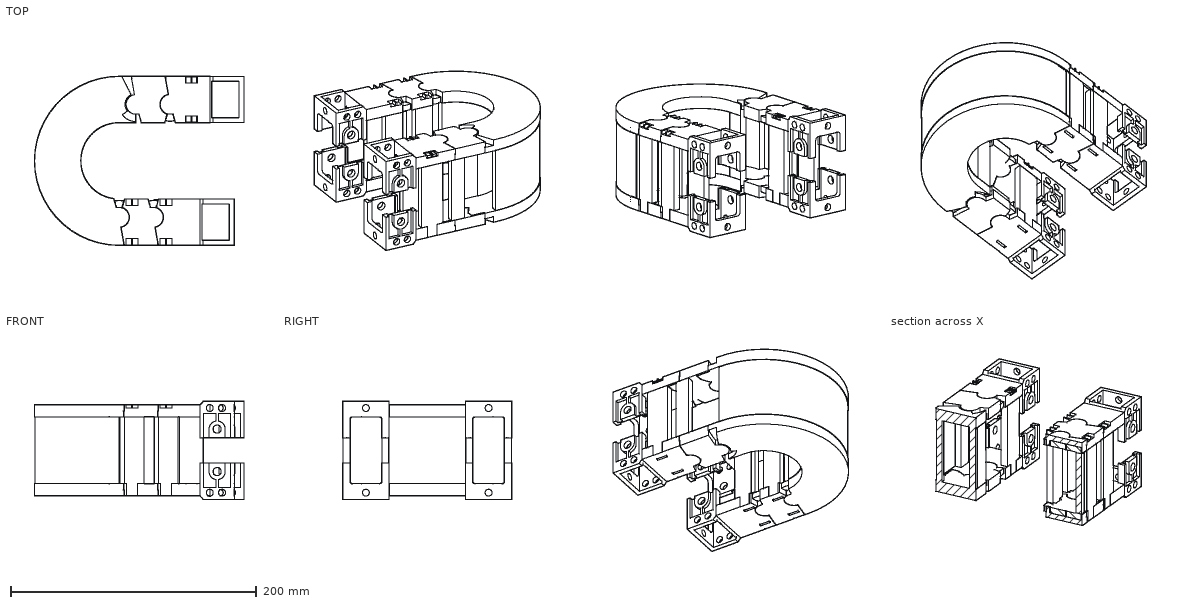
import cadquery as cq
import math


outer_radius = 69.0
chain_width = 38.0
inner_radius = outer_radius - chain_width
outer_edge = -outer_radius
inner_edge = -inner_radius
plate_top = 37.2
plate_thickness = 10.0
plate_bottom = plate_top - plate_thickness
lap_height = plate_top - plate_thickness / 2
wall_thickness = 5.8
wall_inset = 0.5
post_inset = 0.2

pivot_inset = 15.0
pivot_y = inner_edge - pivot_inset
lower_nose_pivot = 0.2
pitch = 27.8
end_pivot = lower_nose_pivot + pitch
upper_tail_pivot = -13.8
upper_end_pivot = upper_tail_pivot - pitch

lobe_radius = 8.0
joint_gap = 0.3
ledge_radius = 13.8
notch_half_bottom = 2.4
notch_half_top = 4.3
notch_margin = 1.0
seam_outer_offset = 3.9
seam_lobe_offset = 1.2
lap_seam_offset = 3.7
tongue_reach = 8.0
tongue_root = (-3.0, -7.4)
tongue_corner = 15.6
tongue_side = 21.2
reach = 40.0
arm_reach = 160.0

swing_socket_radius = 8.9
swing_recess_radius = 14.0
swing_recess_angle = 52.5
swing_edge_inner = (4.0, -8.0)
swing_edge_outer = (11.6, -23.0)

post_length = 19.6
post_start = 0.6
post_center = post_start + post_length / 2
pocket_width = 4.5
pocket_rib = 1.0
pocket_reach = 5.6
pocket_depth = 2.8
finger_gap = 0.7
finger_drop = 0.9
tab_width = 9.0
tab_slot_width = 9.6
tab_slot_reach = 2.0
spacer_length = 12.0

box_length = 28.0
box_top = 40.2
box_height = 30.0
box_bottom = box_top - box_height
box_wall = 4.2
front_wall = 1.8
front_jamb = 6.0
lead_in_rise = front_wall
lead_in_length = 2.6
box_inset = 0.1
lower_box_start = 66.0
upper_box_start = 74.0
recess_length = 22.0
recess_height = 20.0
recess_depth = 2.9
boss_radius = 6.6
boss_hole_diameter = 6.6
boss_height = 7.1
rib_width = 2.2
screw_diameter = 5.6
screw_offsets = (-6.0, 4.0)
screw_drop = 5.7
window_half_width = 13.0
window_top = 27.2
window_fillet = 2.5


def slab(x0, x1, y0, y1, z0, z1):
    return cq.Workplane("XY").box(x1 - x0, y1 - y0, z1 - z0, centered=False).translate((x0, y0, z0))


def prism(pivot, points, z0, z1, grow=0.0):
    """Polygon given relative to a pivot, grown outwards on demand."""
    outline = cq.Workplane("XY").polyline(points).close()
    if grow:
        outline = outline.offset2D(grow, "intersection")
    return outline.extrude(z1 - z0).translate((pivot, pivot_y, z0))


def disc(pivot, radius, z0, z1):
    return cq.Workplane("XY").circle(radius).extrude(z1 - z0).translate((pivot, pivot_y, z0))


def turned(shape):
    return shape.rotate((0, 0, 0), (0, 0, 1), 180)


def mirrored_pair(shape):
    return shape, shape.mirror("XY")


local_outer = outer_edge - pivot_y
local_inner = inner_edge - pivot_y


def notch(pivot):
    """Bending clearance on the inner side of a joint."""
    slope = (notch_half_top - notch_half_bottom) / (local_inner - lobe_radius)
    top = local_inner + notch_margin
    half = notch_half_top + slope * notch_margin
    points = [(-notch_half_bottom, lobe_radius), (notch_half_bottom, lobe_radius), (half, top), (-half, top)]
    return prism(pivot, points, plate_bottom, plate_top)


def nose_lobe(pivot, grow=0.0):
    """Upper lap of the nose: shoulder and round lobe."""
    points = [
        (-reach, local_outer),
        (seam_outer_offset, local_outer),
        (seam_lobe_offset, -lobe_radius),
        (0, 0),
        (0, local_inner),
        (-reach, local_inner),
    ]
    shoulder = prism(pivot, points, lap_height, plate_top, grow)
    return shoulder.union(disc(pivot, lobe_radius + grow, lap_height, plate_top))


def tail_tongue(pivot, grow=0.0):
    """Lower lap of the tail: round tongue that runs under the nose, without the ledge."""
    points = [
        (-tongue_reach, -tongue_side),
        (lap_seam_offset, -tongue_side),
        (lap_seam_offset, local_inner),
        (0, local_inner),
        (0, 0),
        tongue_root,
        (-tongue_reach, -tongue_corner),
    ]
    root = prism(pivot, points, plate_bottom, lap_height, grow)
    return root.union(disc(pivot, lobe_radius + grow, plate_bottom, lap_height))


def tail_ledge(pivot, grow=0.0):
    """Part of the tongue that closes the lower half of the notch."""
    half = notch_half_top + grow
    wedge = prism(pivot, [(0, 0), (half, local_inner), (-half, local_inner)], plate_bottom, lap_height)
    return wedge.intersect(disc(pivot, ledge_radius + grow, plate_bottom, lap_height))


def with_nose(plate, pivot):
    """Shape the +X end of a plate that runs on past the pivot."""
    upper = slab(-arm_reach, arm_reach, outer_edge, inner_edge, lap_height, plate_top)
    right = slab(pivot, arm_reach, outer_edge, inner_edge, plate_bottom, plate_top)
    upper_waste = right.intersect(upper).cut(nose_lobe(pivot))
    lower_waste = slab(pivot + lap_seam_offset - joint_gap, arm_reach, outer_edge, inner_edge,
                       plate_bottom, lap_height)
    plate = plate.cut(upper_waste).cut(lower_waste).cut(notch(pivot))
    return plate.cut(tail_tongue(pivot, joint_gap)).cut(tail_ledge(pivot, joint_gap))


def with_tail(plate, pivot):
    """Shape the -X end of a plate that starts at the pivot."""
    lower_waste = slab(pivot, pivot + lap_seam_offset, outer_edge, inner_edge, plate_bottom, lap_height)
    plate = plate.cut(nose_lobe(pivot, joint_gap)).cut(lower_waste).union(tail_tongue(pivot))
    return plate.cut(notch(pivot)).union(tail_ledge(pivot))


def plate_slab(x0, x1):
    return slab(x0, x1, outer_edge, inner_edge, plate_bottom, plate_top)


def post(x0, x1, y0):
    return slab(x0, x1, y0, y0 + wall_thickness, -plate_bottom, plate_bottom)


outer_post_y = outer_edge + post_inset
inner_post_y = inner_edge - post_inset - wall_thickness


def snap_pockets(center):
    """Two open pockets on each long edge of the top plate."""
    cutter = cq.Workplane("XY")
    for side in (-1, 1):
        x0 = center + side * (pocket_width + pocket_rib) / 2 - pocket_width / 2
        for y0 in (outer_edge, inner_edge - pocket_reach):
            cutter = cutter.union(
                slab(x0, x0 + pocket_width, y0, y0 + pocket_reach, plate_top - pocket_depth, plate_top)
            )
    return cutter


def snap_fingers(center):
    """Post fingers that nearly fill the snap pockets, clear of the end and edge faces."""
    fingers = []
    width = pocket_width - finger_gap
    length = pocket_reach - finger_gap
    for side in (-1, 1):
        x0 = center + side * (pocket_rib + width) / 2 - width / 2
        for y0 in (outer_edge + finger_gap, inner_edge - pocket_reach):
            fingers.append(
                slab(x0, x0 + width, y0, y0 + length, plate_top - pocket_depth, plate_top - finger_drop)
            )
    return fingers


def tab_notches(center):
    """Shallow notches in the bottom plate edges that carry the post face down to the bottom."""
    x0 = center - tab_width / 2
    cutter = slab(x0, x0 + tab_width, outer_edge, outer_edge + post_inset, -plate_top, -plate_bottom)
    return cutter.union(
        slab(x0, x0 + tab_width, inner_edge - post_inset, inner_edge, -plate_top, -plate_bottom)
    )


def tab_slots(center):
    """Clearance slots in the bottom plate on the inward faces of the tabs."""
    x0 = center - tab_slot_width / 2
    x1 = center + tab_slot_width / 2
    outer_face = outer_post_y + wall_thickness
    cutter = slab(x0, x1, outer_face, outer_face + tab_slot_reach, -plate_top, -plate_bottom)
    return cutter.union(
        slab(x0, x1, inner_post_y - tab_slot_reach, inner_post_y, -plate_top, -plate_bottom)
    )


def tail_strip(pivot):
    """Stepped-back strip of the outer and inner posts beside a tail seam."""
    step = wall_inset
    x1 = pivot + seam_outer_offset + joint_gap
    cutter = slab(pivot, x1, outer_edge, outer_edge + step, -plate_bottom, plate_bottom)
    return cutter.union(slab(pivot, x1, inner_edge - step, inner_edge, -plate_bottom, plate_bottom))


def framed(plate, center, inner_trim=0.0):
    """Join the top plate and its mirror with a post on each side."""
    x0 = center - post_length / 2
    x1 = center + post_length / 2
    top, bottom = mirrored_pair(plate)
    body = top.union(bottom).union(post(x0, x1, outer_post_y)).union(post(x0 + inner_trim, x1, inner_post_y))
    return body.cut(snap_pockets(center)).cut(tab_notches(center)).cut(tab_slots(center))


def side_recess(center):
    """Recess of a side wall, open at the bottom, around a boss hung from a rib."""
    recess = slab(center - recess_length / 2, center + recess_length / 2, 0, recess_depth,
                  box_bottom, box_bottom + recess_height)
    boss_z = box_bottom + boss_height
    boss = (
        cq.Workplane("XZ").center(center, boss_z).circle(boss_radius).extrude(-recess_depth)
        .union(slab(center - boss_radius, center + boss_radius, 0, recess_depth, box_bottom, boss_z))
        .union(slab(center - rib_width / 2, center + rib_width / 2, 0, recess_depth,
                    boss_z, box_bottom + recess_height))
    )
    return recess.cut(boss)


def cross_hole(x, z, diameter):
    hole = cq.Workplane("XZ").center(x, z).circle(diameter / 2).extrude(chain_width)
    return hole.translate((0, inner_edge, 0))


def end_box(start):
    """Box at the +X end of an arm, open above, below and towards the chain."""
    end = start + box_length
    center = (start + end) / 2
    middle_y = (outer_edge + inner_edge) / 2
    outer_side = outer_edge + box_inset
    inner_side = inner_edge - box_inset
    far_face = end - box_wall
    box = slab(start, end, outer_side, inner_side, box_bottom, box_top)
    box = box.cut(slab(start + front_wall, far_face, outer_side + box_wall, inner_side - box_wall,
                       box_bottom, box_top))
    box = box.cut(slab(start, start + front_wall, outer_side + front_jamb, inner_side - front_jamb,
                       box_bottom, plate_bottom))
    lead_in = (
        cq.Workplane("XZ")
        .polyline([
            (start, plate_top),
            (start + lead_in_rise, plate_top + lead_in_rise),
            (start + lead_in_length, box_top),
            (start, box_top),
        ])
        .close().extrude(chain_width).translate((0, inner_edge, 0))
    )
    box = box.cut(lead_in)
    recess = side_recess(center)
    box = box.cut(recess.translate((0, outer_side, 0)))
    box = box.cut(recess.mirror("XZ").translate((0, inner_side, 0)))
    box = box.cut(cross_hole(center, box_bottom + boss_height, boss_hole_diameter))
    screw_z = box_top - screw_drop
    for offset in screw_offsets:
        box = box.cut(cross_hole(center + offset, screw_z, screw_diameter))
    end_hole = cq.Workplane("YZ").center(middle_y, screw_z).circle(screw_diameter / 2).extrude(box_wall)
    box = box.cut(end_hole.translate((far_face, 0, 0)))
    window = slab(far_face, end, middle_y - window_half_width, middle_y + window_half_width,
                  box_bottom, window_top)
    return box.cut(window.edges("|X and >Z").fillet(window_fillet))


def half_ring(radius_out, radius_in, z0, z1):
    ring = cq.Workplane("XY").circle(radius_out).circle(radius_in).extrude(z1 - z0)
    keep = slab(-2 * outer_radius, 0, -outer_radius, outer_radius, 0, z1 - z0)
    return ring.intersect(keep).translate((0, 0, z0))


def swing_tail():
    """Upper-Y end of the bend, cut wider than a normal tail so that the link can swing."""
    pivot = upper_tail_pivot
    plate = plate_slab(pivot, 0)
    relief_points = [(0, 0), swing_edge_inner, swing_edge_outer, (0, local_outer)]
    relief = prism(pivot, relief_points, lap_height, plate_top)
    angle = math.radians(swing_recess_angle)
    far = 2 * swing_recess_radius
    sector = prism(pivot, [(0, 0), (far * math.sin(angle), far * math.cos(angle)), (0, far)],
                   lap_height, plate_top)
    recess = sector.intersect(disc(pivot, swing_recess_radius, lap_height, plate_top))
    plate = plate.cut(relief).cut(recess).cut(disc(pivot, swing_socket_radius, lap_height, plate_top))
    outer_gap = slab(pivot, pivot + lap_seam_offset, outer_edge, pivot_y - tongue_corner,
                     plate_bottom, lap_height)
    return plate.cut(outer_gap).union(tail_tongue(pivot))


def make_bend():
    nose = plate_slab(0, seam_outer_offset + 2 * lobe_radius)
    plate = half_ring(outer_radius, inner_radius, plate_bottom, plate_top).union(nose)
    plate = with_nose(plate, lower_nose_pivot).union(turned(swing_tail()))
    top, bottom = mirrored_pair(plate)
    body = top.union(bottom)

    rim = outer_radius - wall_inset
    bore = inner_radius + wall_inset
    for radius_out, radius_in in ((rim, rim - wall_thickness), (bore + wall_thickness, bore)):
        body = body.union(half_ring(radius_out, radius_in, -plate_bottom, plate_bottom))
    inner_wall_trim = slab(lower_nose_pivot - notch_half_top, 0, inner_edge - wall_thickness - wall_inset,
                           inner_edge, -plate_bottom, plate_bottom)
    body = body.cut(inner_wall_trim)
    return body.union(turned(post(upper_tail_pivot, 0, inner_post_y)))


def make_link():
    plate = plate_slab(lower_nose_pivot, end_pivot + 2 * lobe_radius)
    plate = with_nose(with_tail(plate, lower_nose_pivot), end_pivot)
    inner_trim = notch_half_top - post_start
    body = framed(plate, lower_nose_pivot + post_center, inner_trim)
    return body.cut(tail_strip(lower_nose_pivot))


def make_open_link():
    """Upper-Y link: its plates are joined only by a spacer along the outer edge."""
    plate = plate_slab(upper_end_pivot, upper_tail_pivot + 2 * lobe_radius)
    plate = with_nose(with_tail(plate, upper_end_pivot), upper_tail_pivot)
    top, bottom = mirrored_pair(plate)
    x0 = upper_end_pivot + post_start
    return turned(top.union(bottom).union(post(x0, x0 + spacer_length, outer_post_y)))


def make_lower_end_link():
    plate = with_tail(plate_slab(end_pivot, lower_box_start), end_pivot)
    body = framed(plate, end_pivot + post_center).cut(tail_strip(end_pivot))
    for box in mirrored_pair(end_box(lower_box_start)):
        body = body.union(box)
    return body


def make_upper_end_link():
    plate = plate_slab(-upper_box_start, upper_end_pivot + 2 * lobe_radius)
    center = upper_end_pivot - pitch + post_center
    body = framed(with_nose(plate, upper_end_pivot), center)
    for finger in snap_fingers(center):
        body = body.union(finger)
    body = turned(body)
    box = end_box(upper_box_start).translate((0, outer_radius + inner_radius, 0))
    for half in mirrored_pair(box):
        body = body.union(half)
    return body


bend = make_bend()
link = make_link()
open_link = make_open_link()
lower_end_link = make_lower_end_link()
upper_end_link = make_upper_end_link()

result = cq.Compound.makeCompound(
    [bend.val(), link.val(), open_link.val(), lower_end_link.val(), upper_end_link.val()]
)